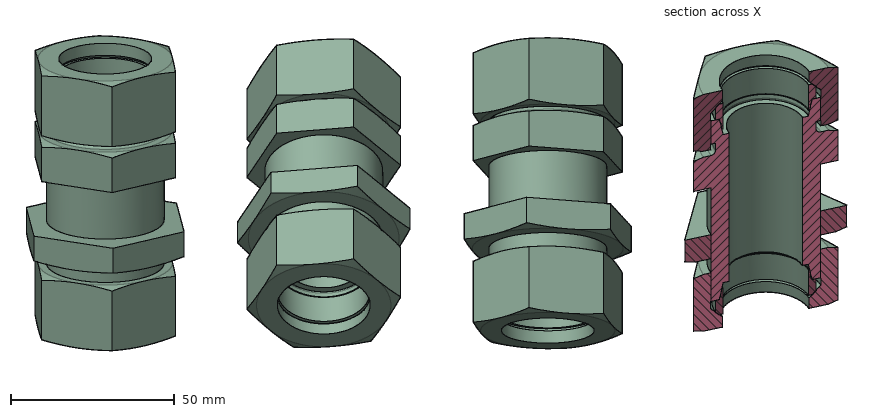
import cadquery as cq
import math

total_length = 87.0
end_height = total_length / 2

union_nut_flats = 41.0
union_nut_length = 21.0
union_nut_bore = 28.3
union_nut_lip = 3.9
clamp_half_angle = math.radians(45)

thread_diameter = 36.0
body_end_depth = 10.3
through_bore = 24.0
tube_diameter = 28.0
cone_mouth_diameter = 30.3
cone_half_angle = math.radians(12)
socket_land = 0.55
neck_diameter = 33.0
neck_length = 4.0
collar_flats = 41.0
collar_length = 12.0
nut_to_collar_gap = 2.0

locknut_flats = 46.0
locknut_length = 9.0
locknut_to_union_nut_gap = 5.0

ring_top_depth = 4.8
ring_nose_depth = 14.3
ring_outer_diameter = 33.0

corner_chamfer_angle = math.radians(15)

body_end = end_height - body_end_depth
cone_length = (cone_mouth_diameter - tube_diameter) / 2 / math.tan(cone_half_angle)
cone_bottom = body_end - cone_length
tube_stop = cone_bottom - socket_land
collar_top = end_height - union_nut_length - nut_to_collar_gap
collar_bottom = collar_top - collar_length
locknut_bottom = -end_height + union_nut_length + locknut_to_union_nut_gap
thread_radius = thread_diameter / 2
tube_radius = tube_diameter / 2
bore_radius = through_bore / 2
cone_mouth_radius = cone_mouth_diameter / 2
neck_radius = neck_diameter / 2
neck_fillet = thread_radius - neck_radius
nut_bore_radius = union_nut_bore / 2
clamp_start = end_height - union_nut_lip


def revolve_profile(points):
    """Solid of revolution about Z from (radius, height) points."""
    return cq.Workplane("XZ").polyline(points).close().revolve(360, (0, 0, 0), (0, 1, 0))


def turn_over(part):
    """The same part at the lower end of the coupling."""
    return part.rotate((0, 0, 0), (1, 0, 0), 180)


def corner_envelope(flats, bottom, top, chamfer_bottom, chamfer_top):
    """Round blank with coned ends whose end faces just reach the hexagon flats."""
    corner_radius = flats / math.sqrt(3)
    face_radius = flats / 2
    drop = (corner_radius - face_radius) * math.tan(corner_chamfer_angle)
    points = [(0, bottom)]
    if chamfer_bottom:
        points += [(face_radius, bottom), (corner_radius, bottom + drop)]
    else:
        points += [(corner_radius, bottom)]
    if chamfer_top:
        points += [(corner_radius, top - drop), (face_radius, top)]
    else:
        points += [(corner_radius, top)]
    points += [(0, top)]
    return revolve_profile(points)


def hexagon(flats, bottom, top, chamfer_bottom=False, chamfer_top=False):
    """Hexagonal prism with two flats facing -X and +X and coned corners where asked for."""
    prism = (
        cq.Workplane("XY", origin=(0, 0, bottom))
        .polygon(6, flats, circumscribed=True)
        .extrude(top - bottom)
    )
    return prism.intersect(corner_envelope(flats, bottom, top, chamfer_bottom, chamfer_top))


def make_union_nut():
    """Upper union nut: a lip around the tube, a clamping cone and the thread bore."""
    bottom = end_height - union_nut_length
    clamp_end = clamp_start - (thread_radius - nut_bore_radius) / math.tan(clamp_half_angle)
    cavity = revolve_profile([
        (0, end_height),
        (nut_bore_radius, end_height),
        (nut_bore_radius, clamp_start),
        (thread_radius, clamp_end),
        (thread_radius, bottom),
        (0, bottom),
    ])
    return hexagon(union_nut_flats, bottom, end_height, True, True).cut(cavity)


def make_cutting_ring():
    """Upper cutting ring, seated in the clamping cone of the nut and the mouth cone of the body."""
    top = end_height - ring_top_depth
    nose = end_height - ring_nose_depth
    outer_radius = ring_outer_diameter / 2
    top_radius = nut_bore_radius + (clamp_start - top) * math.tan(clamp_half_angle)
    shoulder = clamp_start - (outer_radius - nut_bore_radius) / math.tan(clamp_half_angle)
    nose_radius = cone_mouth_radius - (body_end - nose) * math.tan(cone_half_angle)
    return revolve_profile([
        (tube_radius, top),
        (top_radius, top),
        (outer_radius, shoulder),
        (outer_radius, body_end),
        (cone_mouth_radius, body_end),
        (nose_radius, nose),
        (tube_radius, nose),
    ])


def make_tube_socket():
    """Upper tube socket of the body, down to the tube stop."""
    return revolve_profile([
        (0, body_end),
        (cone_mouth_radius, body_end),
        (tube_radius, cone_bottom),
        (tube_radius, tube_stop),
        (0, tube_stop),
    ])


def make_neck_groove():
    """Thread relief above the collar, with a fillet down to the collar face."""
    groove_top = collar_top + neck_length
    fillet_middle = neck_fillet * (1 - math.sqrt(0.5))
    return (
        cq.Workplane("XZ")
        .moveTo(thread_radius, groove_top)
        .lineTo(neck_radius, groove_top)
        .lineTo(neck_radius, collar_top + neck_fillet)
        .threePointArc(
            (neck_radius + fillet_middle, collar_top + fillet_middle),
            (thread_radius, collar_top),
        )
        .close()
        .revolve(360, (0, 0, 0), (0, 1, 0))
    )


def make_body():
    """Threaded barrel with a hexagonal collar, a through bore and a tube socket at each end."""
    barrel = cq.Workplane("XY", origin=(0, 0, -body_end)).circle(thread_radius).extrude(2 * body_end)
    bore = cq.Workplane("XY", origin=(0, 0, -body_end)).circle(bore_radius).extrude(2 * body_end)
    collar = hexagon(collar_flats, collar_bottom, collar_top, chamfer_top=True)
    socket = make_tube_socket()
    body = barrel.cut(make_neck_groove()).union(collar)
    return body.cut(bore).cut(socket).cut(turn_over(socket))


def make_locknut():
    """Hexagonal locknut, coned on its lower corners only."""
    top = locknut_bottom + locknut_length
    thread = cq.Workplane("XY", origin=(0, 0, locknut_bottom)).circle(thread_radius).extrude(locknut_length)
    return hexagon(locknut_flats, locknut_bottom, top, chamfer_bottom=True).cut(thread)


body = make_body()
locknut = make_locknut()
upper_union_nut = make_union_nut()
upper_cutting_ring = make_cutting_ring()

solids = [body.val(), locknut.val()]
for upper_part in (upper_union_nut, upper_cutting_ring):
    solids += [upper_part.val(), turn_over(upper_part).val()]

result = cq.Compound.makeCompound(solids)